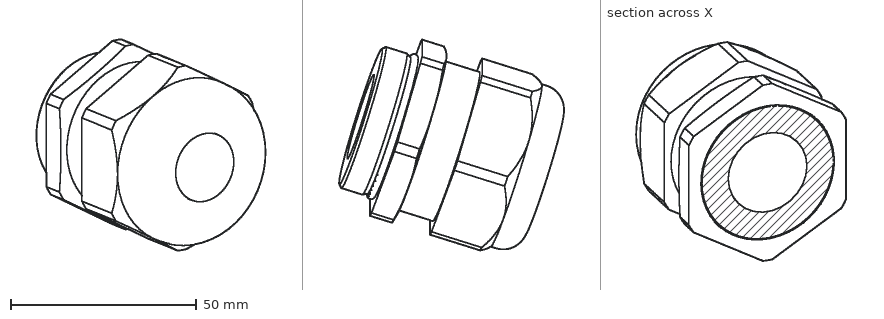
import cadquery as cq
import math


ACROSS_FLATS = 46.0
CORNER_RADIUS = 25.8
FLAT_RADIUS = ACROSS_FLATS / 2
CORNER_DEPTH = CORNER_RADIUS - FLAT_RADIUS

THREAD_RADIUS = 20.0
THREAD_FACE_RADIUS = 38.38 / 2
THREAD_CHAMFER_LENGTH = THREAD_RADIUS - THREAD_FACE_RADIUS
THREAD_LENGTH = 8.0
RUNOUT_LENGTH = 1.25
RUNOUT_ANGLE = 30.0
NECK_RADIUS = THREAD_RADIUS - RUNOUT_LENGTH * math.tan(math.radians(RUNOUT_ANGLE))

RING_OUTER_RADIUS = 20.5
RING_SECTION_RADIUS = 1.0

FLANGE_START = THREAD_LENGTH + 2 * RING_SECTION_RADIUS
FLANGE_LENGTH = 7.0
FLANGE_END = FLANGE_START + FLANGE_LENGTH
FLANGE_BEVEL_ANGLE = 15.0
COLLAR_RADIUS = 42.2 / 2
NUT_START = 27.0
NUT_LENGTH = 17.0
NUT_END = NUT_START + NUT_LENGTH
NUT_BEVEL_ANGLE = 45.0

TOTAL_LENGTH = 52.0
CAP_ROUNDING = 6.5

BORE_ENTRY_RADIUS = 23.8 / 2
BORE_EXIT_RADIUS = 19.0 / 2


def cylinder(start, end, radius):
    """Solid cylinder along X between two positions."""
    return cq.Workplane("YZ", origin=(start, 0, 0)).circle(radius).extrude(end - start)


def revolve_about_x(profile):
    """Revolve a closed profile, drawn in the XY plane, about the X axis."""
    return profile.revolve(360, (0, 0, 0), (1, 0, 0))


def make_hexagon(start, end, bevel_angle):
    """Hexagon with corners at +Z and -Z, turned down and bevelled towards +X."""
    bevel_length = CORNER_DEPTH * math.tan(math.radians(bevel_angle))
    corner_to_corner = ACROSS_FLATS / math.cos(math.pi / 6)
    prism = (
        cq.Workplane("YZ", origin=(start, 0, 0))
        .transformed(rotate=(0, 0, 90))
        .polygon(6, corner_to_corner)
        .extrude(end - start)
    )
    envelope = revolve_about_x(
        cq.Workplane("XY").polyline([
            (start, 0),
            (start, CORNER_RADIUS),
            (end - bevel_length, CORNER_RADIUS),
            (end, FLAT_RADIUS),
            (end, 0),
        ]).close()
    )
    return prism.intersect(envelope)


def make_thread():
    """Threaded end with an entry chamfer, a tapered run-out and a neck up to the flange."""
    return revolve_about_x(
        cq.Workplane("XY").polyline([
            (0, 0),
            (0, THREAD_FACE_RADIUS),
            (THREAD_CHAMFER_LENGTH, THREAD_RADIUS),
            (THREAD_LENGTH - RUNOUT_LENGTH, THREAD_RADIUS),
            (THREAD_LENGTH, NECK_RADIUS),
            (FLANGE_START, NECK_RADIUS),
            (FLANGE_START, 0),
        ]).close()
    )


def make_sealing_ring():
    """Round-section ring filling the gap between the thread and the flange."""
    center = cq.Vector(THREAD_LENGTH + RING_SECTION_RADIUS, 0, 0)
    center_radius = RING_OUTER_RADIUS - RING_SECTION_RADIUS
    torus = cq.Solid.makeTorus(center_radius, RING_SECTION_RADIUS, center, cq.Vector(1, 0, 0))
    return cq.Workplane("XY").newObject([torus])


def make_cap():
    """Domed end of the cap nut."""
    return cylinder(NUT_END, TOTAL_LENGTH, FLAT_RADIUS).faces(">X").edges().fillet(CAP_ROUNDING)


def make_bore():
    """Bore narrowing evenly from the threaded end to the cap."""
    return revolve_about_x(
        cq.Workplane("XY").polyline([
            (0, 0),
            (0, BORE_ENTRY_RADIUS),
            (TOTAL_LENGTH, BORE_EXIT_RADIUS),
            (TOTAL_LENGTH, 0),
        ]).close()
    )


result = (
    make_thread()
    .union(make_sealing_ring())
    .union(make_hexagon(FLANGE_START, FLANGE_END, FLANGE_BEVEL_ANGLE))
    .union(cylinder(FLANGE_END, NUT_START, COLLAR_RADIUS))
    .union(make_hexagon(NUT_START, NUT_END, NUT_BEVEL_ANGLE))
    .union(make_cap())
    .cut(make_bore())
)